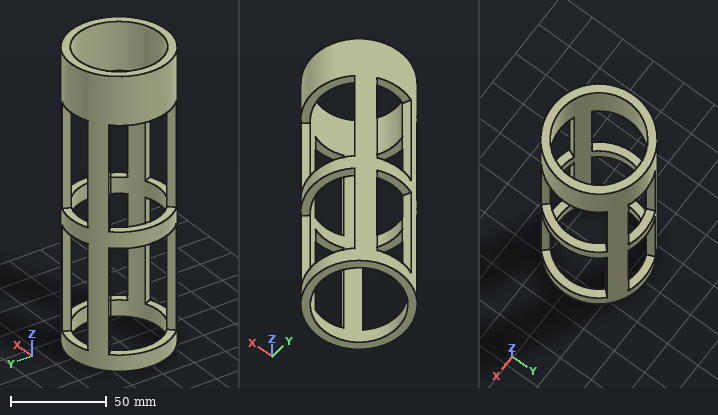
import cadquery as cq
import math

height = 180.0
outer_diameter = 61.0
inner_diameter = 51.0

top_collar_height = 30.0
ring_height = 10.0
window_height = (height - top_collar_height - 2 * ring_height) / 2
lower_window_base = ring_height
upper_window_base = lower_window_base + window_height + ring_height

post_start_angle = 45.0
post_end_angle = 67.5
side_window_angle = 2 * post_start_angle
front_window_angle = 2 * (90.0 - post_end_angle)

cutter_radius = outer_diameter


def window_cutter(center_angle, window_angle, base):
    """Wedge with radial sides that opens one window through the wall."""
    half = math.radians(window_angle / 2)
    x = cutter_radius * math.cos(half)
    y = cutter_radius * math.sin(half)
    wedge = (
        cq.Workplane("XY")
        .workplane(offset=base)
        .moveTo(0, 0)
        .lineTo(x, -y)
        .threePointArc((cutter_radius, 0), (x, y))
        .close()
        .extrude(window_height)
    )
    return wedge.rotate((0, 0, 0), (0, 0, 1), center_angle)


result = (
    cq.Workplane("XY")
    .circle(outer_diameter / 2)
    .circle(inner_diameter / 2)
    .extrude(height)
)

for tier_base in (lower_window_base, upper_window_base):
    for side_angle in (0, 180):
        result = result.cut(window_cutter(side_angle, side_window_angle, tier_base))
        result = result.cut(window_cutter(side_angle + 90, front_window_angle, tier_base))